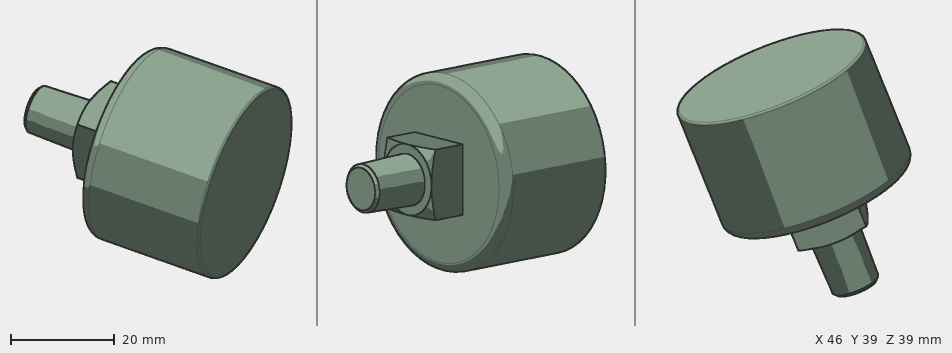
import cadquery as cq
import math

total_length = 46.0
body_diameter = 39.0
body_start = 20.0
front_round = 2.0
rear_round = 0.45
square_side = 14.0
square_start = 12.0
corner_cut_depth = 1.0
stem_base_radius = 5.1
stem_end_radius = 4.8
tip_radius = 4.2
tip_chamfer_length = 0.65

body_length = total_length - body_start
square_length = body_start - square_start
square_corner_radius = square_side / 2 * math.sqrt(2)


def revolve_about_x(profile):
    """Revolve (x, radius) points about the X axis."""
    return cq.Workplane("XY").polyline(profile).close().revolve(360, (0, 0, 0), (1, 0, 0))


def make_body():
    """Round case with a large front round and a small rear round."""
    body = cq.Workplane("YZ", origin=(body_start, 0, 0)).circle(body_diameter / 2).extrude(body_length)
    return body.faces("<X").edges().fillet(front_round).faces(">X").edges().fillet(rear_round)


def make_square():
    """Wrench square whose front corners are trimmed by a cone."""
    front_plane = cq.Workplane("YZ", origin=(square_start, 0, 0))
    block = front_plane.rect(square_side, square_side).extrude(square_length)
    cone = revolve_about_x([
        (square_start, 0),
        (square_start, square_side / 2),
        (square_start + corner_cut_depth, square_corner_radius),
        (body_start, square_corner_radius),
        (body_start, 0),
    ])
    return block.intersect(cone)


def make_stem():
    """Tapered stem with a chamfered tip."""
    return revolve_about_x([
        (0, 0),
        (0, tip_radius),
        (tip_chamfer_length, stem_end_radius),
        (square_start, stem_base_radius),
        (square_start, 0),
    ])


result = make_body().union(make_square()).union(make_stem())